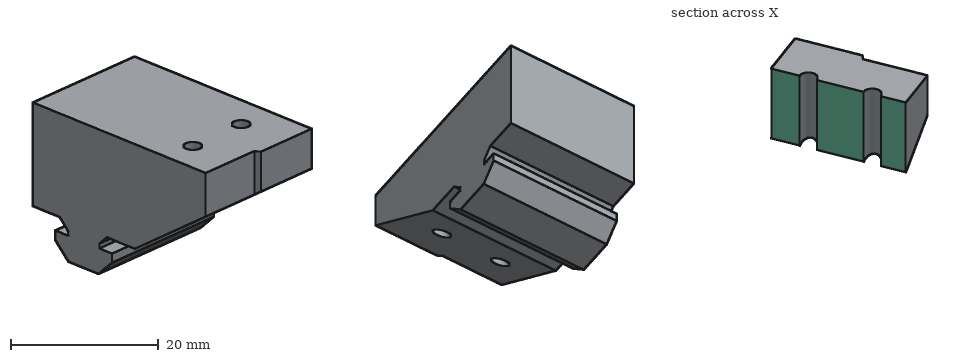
import cadquery as cq
import math

length = 33.05
width = 20.0
height = 21.7

left_ledge_z = 6.15
right_ledge_z = 6.02
slope_start_x = 19.08
slope_end_z = 15.7

foot_left_x = 4.2
foot_right_x = 14.8
foot_top_z = 3.9
foot_left_bevel = 2.45
foot_right_bevel = 2.55
neck_left_x = 6.58
neck_right_x = 12.43
neck_top_z = 4.6
neck_left_flare = left_ledge_z - neck_top_z
neck_right_flare = right_ledge_z - neck_top_z

relief_depth = 0.8
relief_edge_y = width / 2
relief_slant_angle = 30.0

hole_diameter = 2.5
hole_x = 25.13
front_hole_y = 5.0
hole_spacing = 9.5


def make_body():
    """Side profile of body and foot, extruded across the width."""
    profile = [
        (0, height),
        (0, left_ledge_z),
        (neck_left_x - neck_left_flare, left_ledge_z),
        (neck_left_x, neck_top_z),
        (neck_left_x, foot_top_z),
        (foot_left_x, foot_top_z),
        (foot_left_x, foot_left_bevel),
        (foot_left_x + foot_left_bevel, 0),
        (foot_right_x - foot_right_bevel, 0),
        (foot_right_x, foot_right_bevel),
        (foot_right_x, foot_top_z),
        (neck_right_x, foot_top_z),
        (neck_right_x, neck_top_z),
        (neck_right_x + neck_right_flare, right_ledge_z),
        (slope_start_x, right_ledge_z),
        (length, slope_end_z),
        (length, height),
    ]
    return cq.Workplane("XZ").polyline(profile).close().extrude(-width)


def make_end_relief():
    """Full-height cutter for the shallow step, with a slanted shoulder."""
    relief_x = length - relief_depth
    slant_rise = relief_depth * math.tan(math.radians(relief_slant_angle))
    outline = [
        (relief_x, 0),
        (length, 0),
        (length, relief_edge_y),
        (relief_x, relief_edge_y - slant_rise),
    ]
    return cq.Workplane("XY").polyline(outline).close().extrude(height)


def make_holes():
    """Cutters for the two vertical through holes."""
    centers = [(hole_x, front_hole_y + i * hole_spacing) for i in range(2)]
    return cq.Workplane("XY").pushPoints(centers).circle(hole_diameter / 2).extrude(height)


result = make_body().cut(make_end_relief()).cut(make_holes())